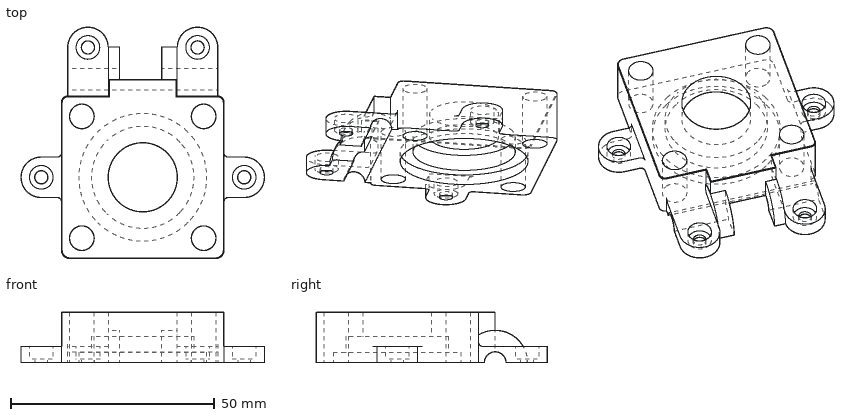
import cadquery as cq

block_side = 40.0
block_height = 12.5
front_corner_radius = 2.0
rear_corner_radius = 1.5
top_chamfer = 0.2
rear_step_width = 16.8
hinge_y = 24.1

bore_diameter = 17.0
recess_diameter = 25.2
recess_depth = 6.5
entry_diameter = 31.5
entry_depth = 2.5
corner_hole_diameter = 6.0
corner_hole_pitch = 30.0

overall_width = 60.0
ear_width = 10.0
ear_thickness = 4.0
ear_hole_diameter = 3.2
counterbore_diameter = 5.8
counterbore_depth = 3.05
ear_root_radius = 1.0
side_ear_x = overall_width / 2 - ear_width / 2
rear_ear_x = 13.5
rear_ear_y = 32.0

barrel_radius = 8.0
left_barrel_inner_x = -5.7
right_barrel_inner_x = 4.6
pin_groove_radius = 2.65

half_block = block_side / 2
ear_radius = ear_width / 2
wall_overlap = 1.8


def box_between(x_min, x_max, y_min, y_max, height):
    """Box standing on Z = 0 between the given limits."""
    return (
        cq.Workplane("XY")
        .box(x_max - x_min, y_max - y_min, height, centered=False)
        .translate((x_min, y_min, 0))
    )


def cylinder(x, y, diameter, height, base_z=0):
    """Vertical cylinder at (x, y)."""
    return cq.Workplane("XY", origin=(x, y, base_z)).circle(diameter / 2).extrude(height)


def cross_cylinder(x_min, x_max, radius):
    """Cylinder along X on the hinge axis."""
    return cq.Workplane("YZ", origin=(x_min, hinge_y, 0)).circle(radius).extrude(x_max - x_min)


def make_block():
    block = box_between(-half_block, half_block, -half_block, half_block, block_height)
    block = block.edges("|Z and <Y").fillet(front_corner_radius)
    block = block.edges("|Z and >Y").fillet(rear_corner_radius)
    half_step = rear_step_width / 2
    step = box_between(-half_step, half_step, 0, hinge_y, block_height)
    return block.union(step).faces(">Z").chamfer(top_chamfer)


def root_fillet(plane, origin, side_u, side_v, length):
    """Concave corner filler, spreading from its origin toward side_u and side_v."""
    radius = ear_root_radius
    blend = 1 - 0.5 ** 0.5
    return (
        cq.Workplane(plane, origin=origin)
        .lineTo(side_u * radius, 0)
        .threePointArc((side_u * radius * blend, side_v * radius * blend), (0, side_v * radius))
        .close()
        .extrude(length)
    )


def make_side_ear(side):
    inner_x = half_block - wall_overlap
    x_limits = sorted((side * inner_x, side * side_ear_x))
    ear = box_between(*x_limits, -ear_radius, ear_radius, ear_thickness)
    ear = ear.union(cylinder(side * side_ear_x, 0, ear_width, ear_thickness))
    for edge in (-1, 1):
        root = (side * half_block, edge * ear_radius, 0)
        ear = ear.union(root_fillet("XY", root, side, edge, ear_thickness))
    return ear


def make_rear_ear(side):
    x_center = side * rear_ear_x
    x_min = x_center - ear_radius
    x_max = x_center + ear_radius
    ear = box_between(x_min, x_max, half_block - wall_overlap, rear_ear_y, ear_thickness)
    ear = ear.union(cylinder(x_center, rear_ear_y, ear_width, ear_thickness))
    root = (x_min, half_block, ear_thickness)
    return ear.union(root_fillet("YZ", root, 1, 1, ear_width))


def make_barrel(side, inner_x):
    """Upper half of a barrel, lying above Z = 0 against the inner side of the ear."""
    x_limits = sorted((inner_x, side * (rear_ear_x - ear_radius)))
    barrel = cross_cylinder(*x_limits, barrel_radius)
    upper_half = box_between(*x_limits, half_block - wall_overlap, hinge_y + barrel_radius, barrel_radius)
    return barrel.intersect(upper_half)


ear_centers = [
    (-side_ear_x, 0),
    (side_ear_x, 0),
    (-rear_ear_x, rear_ear_y),
    (rear_ear_x, rear_ear_y),
]

result = make_block()
for side, barrel_inner_x in ((-1, left_barrel_inner_x), (1, right_barrel_inner_x)):
    result = result.union(make_side_ear(side))
    result = result.union(make_rear_ear(side))
    result = result.union(make_barrel(side, barrel_inner_x))

groove_end = rear_ear_x + ear_width
result = result.cut(cross_cylinder(-groove_end, groove_end, pin_groove_radius))

result = result.cut(cylinder(0, 0, bore_diameter, block_height))
result = result.cut(cylinder(0, 0, recess_diameter, recess_depth))
result = result.cut(cylinder(0, 0, entry_diameter, entry_depth))

half_pitch = corner_hole_pitch / 2
for x in (-half_pitch, half_pitch):
    for y in (-half_pitch, half_pitch):
        result = result.cut(cylinder(x, y, corner_hole_diameter, block_height))

for x, y in ear_centers:
    result = result.cut(cylinder(x, y, ear_hole_diameter, ear_thickness))
    seat_z = ear_thickness - counterbore_depth
    result = result.cut(cylinder(x, y, counterbore_diameter, counterbore_depth, seat_z))